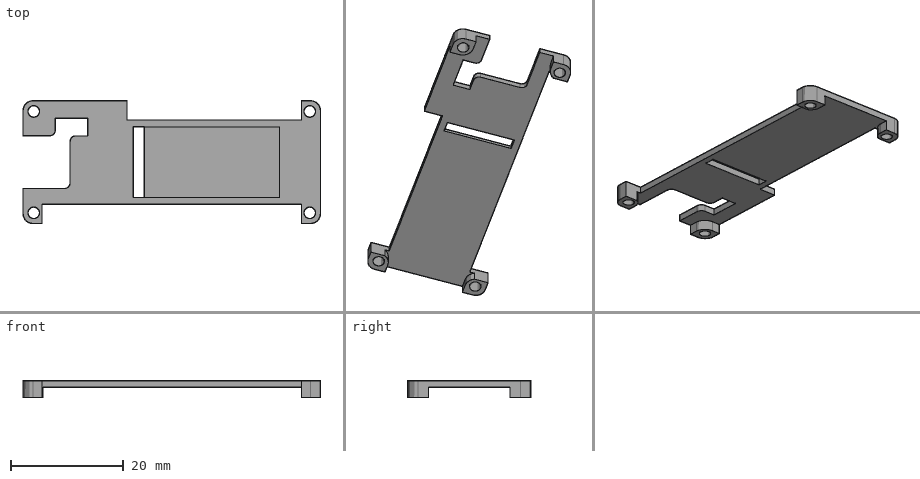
import cadquery as cq

length = 52.83
width = 21.84
height = 3.0
plate_thickness = 1.2

corner_radius = 1.8

hole_pitch_x = 49.0
hole_pitch_y = 18.0
hole_diameter = 2.0

foot_length = 3.6
foot_width = 3.7
foot_inner_radius = 2.0

recess_depth = 3.4
tab_length = 3.4
wide_end_length = 18.5

opening_depth = 8.35
opening_inset = 6.25
opening_radius = 1.0
side_slot_start = 5.75
side_slot_end = 11.5
side_slot_inset = 3.15

pocket_start = 19.6
pocket_length = 25.95
pocket_width = 12.5
pocket_depth = 0.5
slot_length = 1.9

left = -length / 2
right = length / 2
back = width / 2
front = -width / 2
plate_bottom = height - plate_thickness


def box(x_min, x_max, y_min, y_max, z_min, z_max):
    """Axis-aligned block between the given limits."""
    size = (x_max - x_min, y_max - y_min, z_max - z_min)
    block = cq.Workplane("XY").box(*size, centered=False)
    return block.translate((x_min, y_min, z_min))


def make_feet():
    """Four feet, each with its corner nearest the middle of the part rounded."""
    foot = box(left, left + foot_length, front, front + foot_width, 0, plate_bottom)
    foot = foot.edges("|Z and >X and >Y").fillet(foot_inner_radius)
    end_pair = foot.union(foot.mirror("XZ"))
    return end_pair.union(end_pair.mirror("YZ"))


def make_blank():
    """Flat plate on its feet, with the outer corners rounded over the full height."""
    plate = box(left, right, front, back, plate_bottom, height)
    envelope = box(left, right, front, back, 0, height).edges("|Z").fillet(corner_radius)
    return plate.union(make_feet()).intersect(envelope)


def cut_side_recesses(body):
    """Narrow the plate between the tabs on both long sides."""
    recess_end = right - tab_length
    body = body.cut(box(left + wide_end_length, recess_end, back - recess_depth, back, 0, height))
    return body.cut(box(left + tab_length, recess_end, front, front + recess_depth, 0, height))


def cut_end_opening(body):
    """Cut the stepped opening in the -X end, with its three rounded corners."""
    opening_top = back - opening_inset
    opening_bottom = front + opening_inset
    slot_top = back - side_slot_inset
    inner_x = left + opening_depth
    slot_left = left + side_slot_start
    slot_right = left + side_slot_end
    cutter = (
        cq.Workplane("XY")
        .moveTo(left, opening_bottom)
        .lineTo(inner_x - opening_radius, opening_bottom)
        .radiusArc((inner_x, opening_bottom + opening_radius), -opening_radius)
        .lineTo(inner_x, opening_top - opening_radius)
        .radiusArc((inner_x + opening_radius, opening_top), opening_radius)
        .lineTo(slot_right, opening_top)
        .lineTo(slot_right, slot_top)
        .lineTo(slot_left, slot_top)
        .lineTo(slot_left, opening_top + opening_radius)
        .radiusArc((slot_left - opening_radius, opening_top), opening_radius)
        .lineTo(left, opening_top)
        .close()
        .extrude(height)
    )
    return body.cut(cutter)


def cut_pocket(body):
    """Sink the pocket into the top face and open its -X end right through."""
    x_start = left + pocket_start
    y_half = pocket_width / 2
    body = body.cut(box(x_start, x_start + pocket_length, -y_half, y_half, height - pocket_depth, height))
    return body.cut(box(x_start, x_start + slot_length, -y_half, y_half, 0, height))


def drill_holes(body):
    """Drill a screw hole down through each foot."""
    drills = (
        cq.Workplane("XY")
        .rect(hole_pitch_x, hole_pitch_y, forConstruction=True)
        .vertices()
        .circle(hole_diameter / 2)
        .extrude(height)
    )
    return body.cut(drills)


result = make_blank()
result = cut_side_recesses(result)
result = cut_end_opening(result)
result = cut_pocket(result)
result = drill_holes(result)